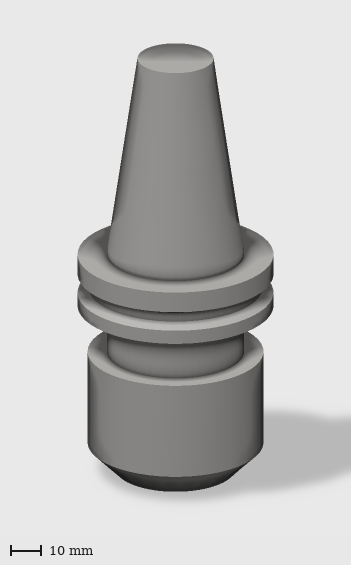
import cadquery as cq

total_height = 144.5
nose_chamfer_height = 9.1
nut_top = 41.2
flange_bottom = 57.3
flange_height = 18.0
lower_rim_height = 4.6
upper_rim_height = 7.0
groove_side_height = 1.7
collar_height = 1.0

nose_diameter = 39.0
nut_diameter = 57.0
neck_diameter = 44.5
flange_diameter = 63.5
groove_diameter = 56.5
taper_large_diameter = 44.5
taper_small_diameter = 24.7

flange_top = flange_bottom + flange_height
groove_bottom = flange_bottom + lower_rim_height
groove_top = flange_top - upper_rim_height
taper_bottom = flange_top + collar_height

corners = [
    (nose_diameter, 0),
    (nut_diameter, nose_chamfer_height),
    (nut_diameter, nut_top),
    (neck_diameter, nut_top),
    (neck_diameter, flange_bottom),
    (flange_diameter, flange_bottom),
    (flange_diameter, groove_bottom),
    (groove_diameter, groove_bottom + groove_side_height),
    (groove_diameter, groove_top - groove_side_height),
    (flange_diameter, groove_top),
    (flange_diameter, flange_top),
    (taper_large_diameter, flange_top),
    (taper_large_diameter, taper_bottom),
    (taper_small_diameter, total_height),
]

half_section = cq.Workplane("XZ").moveTo(0, 0)
for diameter, height in corners:
    half_section = half_section.lineTo(diameter / 2, height)
half_section = half_section.lineTo(0, total_height).close()

result = half_section.revolve(360, (0, 0, 0), (0, 1, 0))